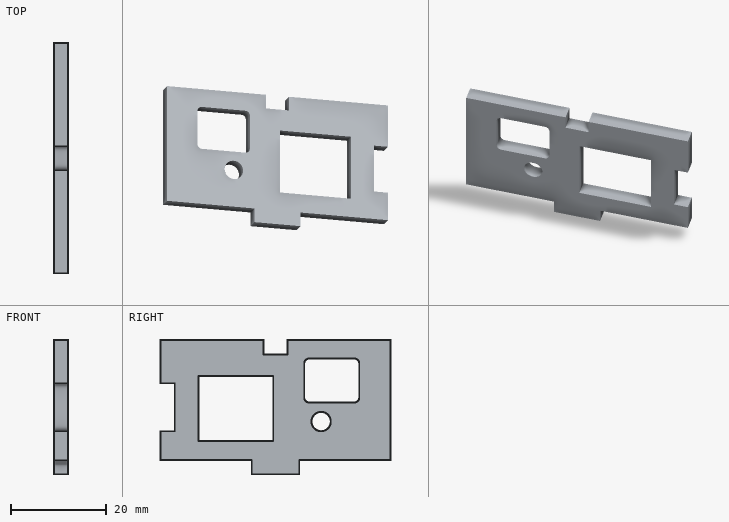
import cadquery as cq

length = 48.0
thickness = 3.0
total_height = 28.0
step_depth = 3.0
body_height = total_height - step_depth

tab_width = 10.0
top_notch_width = 5.0

end_notch_width = 10.0
end_notch_bottom = 6.0

square_window_width = 15.5
square_window_height = 13.5
square_window_y = -8.25
square_window_bottom = 4.0

round_window_width = 11.4
round_window_height = 9.1
round_window_y = 11.7
round_window_bottom = 12.0
round_window_radius = 1.0

hole_diameter = 4.0
hole_y = 9.5
hole_z = 8.0


def block(center_y, bottom_z, width, height):
    """Full-thickness block, centred at center_y and standing on bottom_z."""
    return (
        cq.Workplane("XY")
        .box(thickness, width, height, centered=(True, True, False))
        .translate((0, center_y, bottom_z))
    )


plate = block(0, 0, length, body_height)
plate = plate.union(block(0, -step_depth, tab_width, step_depth))

top_notch = block(0, body_height - step_depth, top_notch_width, step_depth)
end_notch_y = (step_depth - length) / 2
end_notch = block(end_notch_y, end_notch_bottom, step_depth, end_notch_width)

square_window = block(
    square_window_y, square_window_bottom, square_window_width, square_window_height
)
round_window = block(
    round_window_y, round_window_bottom, round_window_width, round_window_height
).edges("|X").fillet(round_window_radius)
hole = (
    cq.Workplane("YZ", origin=(-thickness / 2, 0, 0))
    .center(hole_y, hole_z)
    .circle(hole_diameter / 2)
    .extrude(thickness)
)

result = plate
for opening in (top_notch, end_notch, square_window, round_window, hole):
    result = result.cut(opening)